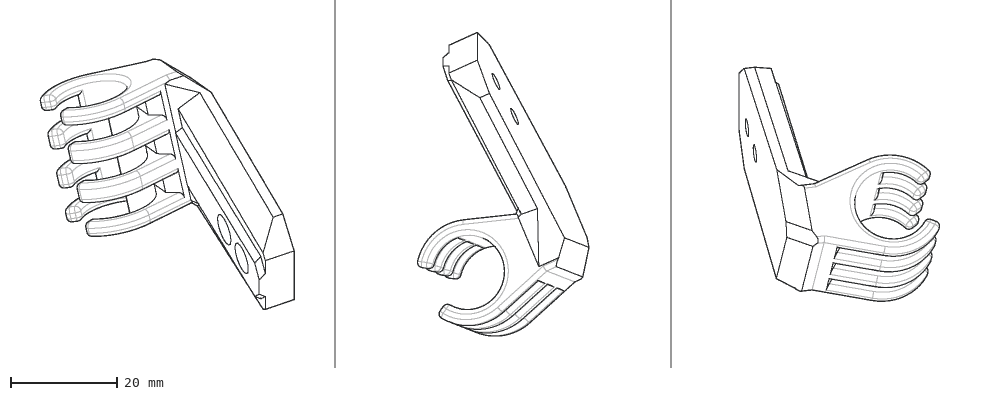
import cadquery as cq
import math


tilt = 30.0
axis_y = -20.0
bore_radius = 7.05
arm_width = 3.0
ring_radius = bore_radius + arm_width
mouth_half_angle = 30.0
base_half_width = 6.0
base_depth = 6.0
end_arm_thickness = 3.0
middle_arm_thickness = 4.0
arm_pitch = 8.0
edge_round = 1.0
half_length = 12.95

liner_thickness = 1.0
liner_edge_round = 0.9

web_side_depth = 8.45
web_centre_depth = 10.9
web_centre_half_width = 3.65

back_chamfer = 4.0
corner_cut = 2.3

plate_start = -base_half_width + edge_round
plate_end_x = 42.8
plate_end_half_height = 6.9
plate_corner = 5.2
top_height_at_clip = 13.4
bottom_height_at_clip = 13.7
edge_thickness = 2.0
plate_thickness = 6.0
side_bevel = plate_thickness - edge_thickness

ridge_half_height = 6.0
ridge_rise = 1.25
ridge_nose_x = 2.1
ridge_nose_z = 2.7
ridge_depth = plate_thickness + ridge_rise

hole_diameter = 3.3
counterbore_diameter = 6.0
counterbore_depth = 5.2
hole_pitch = 7.95
first_hole_x = 26.85

gusset_back_width = 11.75
gusset_front_width = 6.35
gusset_end_reach = 6.9
gusset_corner_x = 5.65
gusset_corner_facing = (0.5, -1.0, -0.9)

far = 86.45
slack = 0.3

tilt_rad = math.radians(tilt)
clip_plane = cq.Plane(
    origin=(0, 0, 0),
    xDir=(math.cos(tilt_rad), 0, math.sin(tilt_rad)),
    normal=(-math.sin(tilt_rad), 0, math.cos(tilt_rad)),
)


def to_part(shape):
    """Move a shape from the clip frame to the part's axes."""
    return cq.Workplane(obj=shape.val().moved(cq.Location(clip_plane)))


def ring_point(radius, angle):
    """Point on a circle round the clip axis, angle measured from +x."""
    a = math.radians(angle)
    return (radius * math.cos(a), axis_y + radius * math.sin(a))


def mirrored(point):
    return (-point[0], point[1])


def flank_touch_point():
    """Where the line from the base corner touches the ring."""
    drop = -base_depth - axis_y
    distance = math.hypot(base_half_width, drop)
    angle = math.atan2(drop, base_half_width) - math.acos(ring_radius / distance)
    return ring_point(ring_radius, math.degrees(angle))


def arm(bottom, thickness):
    """One C-shaped arm with its base, all rims rounded except along the back."""
    touch = flank_touch_point()
    tip_angle = mouth_half_angle - 90
    outer_tip = ring_point(ring_radius, tip_angle)
    inner_tip = ring_point(bore_radius, tip_angle)
    outer_mid = ring_point(ring_radius, tip_angle / 2)
    body = (
        cq.Workplane().moveTo(base_half_width, 0)
        .lineTo(base_half_width, -base_depth)
        .lineTo(*touch)
        .threePointArc(outer_mid, outer_tip)
        .lineTo(*inner_tip)
        .threePointArc(ring_point(bore_radius, 90), mirrored(inner_tip))
        .lineTo(*mirrored(outer_tip))
        .threePointArc(mirrored(outer_mid), mirrored(touch))
        .lineTo(-base_half_width, -base_depth)
        .lineTo(-base_half_width, 0)
        .close().extrude(thickness)
    )
    rims = body.faces("|Z").edges("not >Y")
    tips = body.edges("|Z").edges(cq.selectors.BoxSelector(
        (-far, axis_y - ring_radius, -far), (far, axis_y - bore_radius / 2, far)))
    return rims.add(tips).fillet(edge_round).translate((0, 0, bottom))


def liner():
    """Half tube round the bore, rounded along its two inner edges."""
    outer = bore_radius + liner_thickness
    length = 2 * half_length - end_arm_thickness
    ring = cq.Workplane().center(0, axis_y).circle(outer).circle(bore_radius).extrude(length)
    front_half = (
        cq.Workplane().box(far, far, far, centered=(True, False, True))
        .translate((0, axis_y - far, 0))
    )
    tube = ring.cut(front_half)
    inner_edges = tube.edges("|Z").edges(cq.selectors.BoxSelector(
        (-bore_radius - slack, axis_y - slack, -far), (bore_radius + slack, axis_y + slack, far)))
    return inner_edges.fillet(liner_edge_round).translate((0, 0, -length / 2))


def web():
    """Solid block behind the arms, hollowed toward the bore between them."""
    touch = flank_touch_point()
    share = (web_side_depth - base_depth) / (-touch[1] - base_depth)
    side = base_half_width + share * (touch[0] - base_half_width)
    right = [
        (base_half_width, 0),
        (base_half_width, -base_depth),
        (side, -web_side_depth),
        (web_centre_half_width, -web_centre_depth),
    ]
    outline = right + [mirrored(p) for p in reversed(right)]
    length = 2 * half_length - end_arm_thickness
    return cq.Workplane().polyline(outline).close().extrude(length / 2, both=True)


def clip():
    body = web().union(liner())
    body = body.union(arm(half_length - end_arm_thickness, end_arm_thickness))
    body = body.union(arm(-half_length, end_arm_thickness))
    for centre in (arm_pitch / 2, -arm_pitch / 2):
        body = body.union(arm(centre - middle_arm_thickness / 2, middle_arm_thickness))
    return body


def plate_outline(inset):
    """Plate outline with its long sides moved in; the far end stays put."""
    corner_x = plate_end_x - plate_corner
    corner_z = plate_end_half_height + plate_corner

    def side(height_at_clip):
        slope = (height_at_clip - corner_z) / corner_x
        corner_shift = inset / (1 - slope)
        start = (-plate_end_x, height_at_clip + slope * plate_end_x - inset)
        return [start, (corner_x + corner_shift, corner_z - corner_shift),
                (plate_end_x, plate_end_half_height)]

    top = side(top_height_at_clip)
    bottom = [(x, -z) for x, z in side(bottom_height_at_clip)]
    return top + bottom[::-1]


def front_plane(depth):
    return cq.Workplane("XZ", origin=(0, -depth, 0))


def plate_slab(depth):
    return front_plane(0).polyline(plate_outline(0)).close().extrude(depth)


def plate():
    bevelled = (
        front_plane(edge_thickness).polyline(plate_outline(0)).close()
        .workplane(offset=side_bevel)
        .polyline(plate_outline(side_bevel)).close().loft(ruled=True)
    )
    return plate_slab(edge_thickness).union(bevelled)


def ridge_outline(half_height):
    nose_x = plate_end_x - ridge_nose_x
    top = [(0, half_height), (nose_x, half_height), (plate_end_x, half_height - ridge_nose_z)]
    return top + [(x, -z) for x, z in reversed(top)]


def ridge():
    return (
        front_plane(plate_thickness).polyline(ridge_outline(ridge_half_height)).close()
        .workplane(offset=ridge_rise)
        .polyline(ridge_outline(ridge_half_height - ridge_rise)).close().loft(ruled=True)
    )


def gusset():
    """Fill beside the clip, sloping down to the plate on its side and lower end."""
    side_slope = (
        cq.Workplane()
        .polyline([(plate_start, 0), (gusset_back_width, 0),
                   (gusset_front_width, -ridge_depth), (plate_start, -ridge_depth)])
        .close().extrude(far, both=True)
    )
    end_slope = (
        cq.Workplane("YZ")
        .polyline([(0, -half_length - gusset_end_reach), (0, half_length),
                   (-ridge_depth, half_length),
                   (-ridge_depth, -half_length - gusset_end_reach + ridge_depth)])
        .close().extrude(far, both=True)
    )
    corner_plane = cq.Plane(
        origin=(gusset_corner_x, -plate_thickness,
                -half_length - gusset_end_reach + plate_thickness),
        normal=gusset_corner_facing,
    )
    corner = cq.Workplane(corner_plane).rect(far, far).extrude(far)
    wedge = side_slope.intersect(end_slope).cut(corner)
    return plate_slab(ridge_depth).intersect(to_part(wedge))


def plate_reach():
    """Region beyond the clip's near side and below its upper end."""
    return to_part(
        cq.Workplane().box(far, far, far, centered=(False, True, False))
        .translate((plate_start, 0, half_length - far))
    )


def back_bevels():
    """Waste along the back of the near side, the upper end, and their corner."""
    c = back_chamfer
    side = (
        cq.Workplane()
        .polyline([(-base_half_width - c, -2 * c), (-base_half_width + 2 * c, c),
                   (-base_half_width - c, c)])
        .close().extrude(far, both=True)
    )
    end = (
        cq.Workplane("YZ")
        .polyline([(-2 * c, half_length + c), (c, half_length - 2 * c), (c, half_length + c)])
        .close().extrude(far, both=True)
    )
    corner_plane = cq.Plane(
        origin=(-base_half_width + c + corner_cut, 0, half_length - c),
        xDir=(1, 0, 1),
        normal=(-1, 2, 1),
    )
    corner = cq.Workplane(corner_plane).rect(6 * c, 6 * c).extrude(2 * c)
    return to_part(side.union(end).union(corner))


def screw_holes():
    spots = [(first_hole_x + i * hole_pitch, 0) for i in range(2)]
    bores = front_plane(0).pushPoints(spots).circle(hole_diameter / 2).extrude(ridge_depth)
    heads = (
        front_plane(ridge_depth - counterbore_depth).pushPoints(spots)
        .circle(counterbore_diameter / 2).extrude(counterbore_depth)
    )
    return bores.union(heads)


arm_body = plate().union(ridge()).intersect(plate_reach())
result = to_part(clip()).union(arm_body).union(gusset())
result = result.cut(back_bevels()).cut(screw_holes())